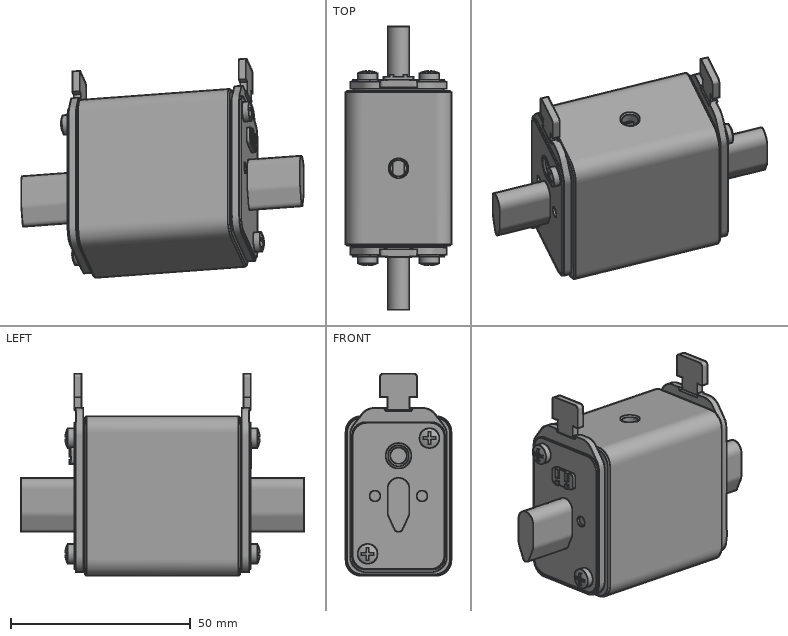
import cadquery as cq
import math

OVERALL_LENGTH = 78.8

HOUSING_WIDTH = 29.5
HOUSING_LENGTH = 43.1
HOUSING_HEIGHT = 44.45
HOUSING_CORNER_RADIUS = 4.5
HOUSING_EDGE_CHAMFER = 0.5
TOP_HOLE_RADIUS = 2.3
TOP_HOLE_RIM_RADIUS = 2.75
TOP_HOLE_DEPTH = 3.15
TOP_SLOT_WIDTH = 3.15
TOP_SLOT_DEPTH = 1.6

SPACER_INSET = 2.2
SPACER_THICKNESS = 0.5
SPACER_CORNER_RADIUS = 4.25
PLATE_THICKNESS = 2.05
PLATE_HALF_WIDTH = 13.5
PLATE_BOTTOM = -21.2
PLATE_SHOULDER = 18.4
PLATE_TOP = 24.5
PLATE_TOP_HALF_WIDTH = 8.8
PLATE_CORNER_RADIUS = 4.5
PANEL_WIDTH = 25.9
PANEL_HEIGHT = 41.05
PANEL_THICKNESS = 0.5
PANEL_CORNER_RADIUS = 3.95
PANEL_SIDE_TAPER = 27.0

LUG_OFFSET = 0.5
LUG_TOP = 34.05
LUG_HEAD_BOTTOM = 27.5
LUG_HEAD_WIDTH = 10.4
LUG_NECK_WIDTH = 6.15
LUG_CORNER_RADIUS = 1.0
LUG_FOOT_HEIGHT = 0.95
LUG_FOOT_TOP_WIDTH = 8.2
LUG_FOOT_BOTTOM_WIDTH = 7.1
LUG_FOOT_TAPER = 45.0

BLADE_WIDTH = 6.1
BLADE_TOP = 5.05
BLADE_CORNER_Z = -5.1
BLADE_FLANK_ANGLE = 24.7
BLADE_CORNER_RADIUS = 2.8
BLADE_TIP_RADIUS = 1.3

SCREW_RADIUS = 2.75
SCREW_RIM_HEIGHT = 1.8
SCREW_DOME_HEIGHT = 0.7
SCREW_X = 8.6
SCREW_Z = 16.1
CROSS_LENGTH = 3.5
CROSS_WIDTH = 0.7
CROSS_CENTRE_SIZE = 1.3
CROSS_DEPTH = 0.8

BLIND_HOLE_RADIUS = 1.5
BLIND_HOLE_X = 6.55
BLIND_HOLE_DEPTH = 0.8

INDICATOR_Z = 11.2
RING_RADIUS = 3.55
RING_HEIGHT = 0.15
OPENING_RIM_RADIUS = 2.9
OPENING_RADIUS = 2.3

BLOCK_WIDTH = 8.4
BLOCK_HEIGHT = 4.7
BLOCK_THICKNESS = 0.95
BLOCK_CORNER_RADIUS = 1.1
PRONG_OUTER_X = 2.45
PRONG_INNER_X = 1.35
PRONG_HEIGHT = 0.5
PRONG_NOTCH_WIDTH = 0.95
PRONG_NOTCH_OFFSET = 0.7

HOUSING_FACE = HOUSING_LENGTH / 2
PLATE_BACK = HOUSING_FACE + SPACER_THICKNESS
PLATE_FACE = PLATE_BACK + PLATE_THICKNESS
PANEL_FACE = PLATE_FACE + PANEL_THICKNESS
BLADE_END = OVERALL_LENGTH / 2


def facing_front(distance):
    """Sketch plane looking toward -Y, the given distance in front of the middle."""
    return cq.Workplane("XZ", origin=(0, -distance, 0))


def rounded_block(start, width, height, thickness, radius):
    """Upright rectangular slab with rounded corners, growing outward from start."""
    return facing_front(start).rect(width, height).extrude(thickness).edges("|Y").fillet(radius)


def countersunk_cutter(plane, rim_radius, bore_radius, depth):
    """Bore with a 45 degree countersink, sunk into the given plane."""
    sink_depth = rim_radius - bore_radius
    profile = [
        (0, 0),
        (rim_radius, 0),
        (bore_radius, -sink_depth),
        (bore_radius, -depth),
        (0, -depth),
    ]
    upright_cutter = cq.Workplane("XZ").polyline(profile).close().revolve(360, (0, 0), (0, 1))
    return cq.Workplane(upright_cutter.val().located(plane.plane.location))


def make_housing():
    housing = (
        rounded_block(-HOUSING_FACE, HOUSING_WIDTH, HOUSING_HEIGHT, HOUSING_LENGTH, HOUSING_CORNER_RADIUS)
        .faces("<Y or >Y")
        .chamfer(HOUSING_EDGE_CHAMFER)
    )
    top_plane = cq.Workplane("XY", origin=(0, 0, HOUSING_HEIGHT / 2))
    hole = countersunk_cutter(top_plane, TOP_HOLE_RIM_RADIUS, TOP_HOLE_RADIUS, TOP_HOLE_DEPTH)
    slot = (
        top_plane.workplane(offset=-TOP_HOLE_DEPTH)
        .circle(TOP_HOLE_RADIUS)
        .extrude(-TOP_SLOT_DEPTH)
        .intersect(cq.Workplane("XY").box(TOP_SLOT_WIDTH, HOUSING_LENGTH, HOUSING_HEIGHT))
    )
    return housing.cut(hole).cut(slot)


def make_plate():
    outline = [
        (-PLATE_HALF_WIDTH, PLATE_BOTTOM),
        (PLATE_HALF_WIDTH, PLATE_BOTTOM),
        (PLATE_HALF_WIDTH, PLATE_SHOULDER),
        (PLATE_TOP_HALF_WIDTH, PLATE_TOP),
        (-PLATE_TOP_HALF_WIDTH, PLATE_TOP),
        (-PLATE_HALF_WIDTH, PLATE_SHOULDER),
    ]
    plate = facing_front(PLATE_BACK).polyline(outline).close().extrude(PLATE_THICKNESS)
    return plate.edges("|Y").fillet(PLATE_CORNER_RADIUS)


def make_panel():
    outline = cq.Sketch().rect(PANEL_WIDTH, PANEL_HEIGHT).vertices().fillet(PANEL_CORNER_RADIUS)
    return facing_front(PLATE_FACE).placeSketch(outline).extrude(PANEL_THICKNESS, taper=PANEL_SIDE_TAPER)


def make_lug_foot(start):
    """Sloping-sided step where the lug is pressed out of the plate, ending at the plate's top edge."""
    side_slope = (LUG_FOOT_TOP_WIDTH - LUG_FOOT_BOTTOM_WIDTH) / 2 / LUG_FOOT_HEIGHT
    bottom = PLATE_TOP - LUG_FOOT_HEIGHT
    half_bottom = LUG_FOOT_BOTTOM_WIDTH / 2
    drawn_height = 2 * LUG_FOOT_HEIGHT
    half_top = half_bottom + side_slope * drawn_height
    outline = [
        (-half_bottom, bottom),
        (half_bottom, bottom),
        (half_top, bottom + drawn_height),
        (-half_top, bottom + drawn_height),
    ]
    step = facing_front(start).polyline(outline).close().extrude(LUG_OFFSET, taper=LUG_FOOT_TAPER)
    below_plate_top = (
        facing_front(start)
        .center(0, PLATE_TOP - drawn_height / 2)
        .rect(2 * LUG_FOOT_TOP_WIDTH, drawn_height)
        .extrude(LUG_OFFSET)
    )
    return step.intersect(below_plate_top)


def make_lug():
    lug_back = PLATE_BACK + LUG_OFFSET
    head_height = LUG_TOP - LUG_HEAD_BOTTOM
    head = (
        facing_front(lug_back)
        .center(0, LUG_HEAD_BOTTOM + head_height / 2)
        .rect(LUG_HEAD_WIDTH, head_height)
        .extrude(PLATE_THICKNESS)
        .edges("|Y and >Z")
        .fillet(LUG_CORNER_RADIUS)
    )
    neck_bottom = PLATE_TOP - LUG_FOOT_HEIGHT + LUG_OFFSET
    neck_height = LUG_HEAD_BOTTOM - neck_bottom
    neck = (
        facing_front(lug_back)
        .center(0, neck_bottom + neck_height / 2)
        .rect(LUG_NECK_WIDTH, neck_height)
        .extrude(PLATE_THICKNESS)
    )
    return head.union(neck)


def make_blade():
    half = BLADE_WIDTH / 2
    shoulder = BLADE_TOP - half
    point_z = BLADE_CORNER_Z - half / math.tan(math.radians(BLADE_FLANK_ANGLE))
    blade = (
        facing_front(PLATE_FACE)
        .moveTo(-half, shoulder)
        .threePointArc((0, BLADE_TOP), (half, shoulder))
        .lineTo(half, BLADE_CORNER_Z)
        .lineTo(0, point_z)
        .lineTo(-half, BLADE_CORNER_Z)
        .close()
        .extrude(BLADE_END - PLATE_FACE)
    )
    blade = blade.edges("|Y and <Z").fillet(BLADE_TIP_RADIUS)
    middle_y = -(PLATE_FACE + BLADE_END) / 2
    for x in (-half, half):
        corner = cq.selectors.NearestToPointSelector((x, middle_y, BLADE_CORNER_Z))
        blade = blade.edges(corner).fillet(BLADE_CORNER_RADIUS)
    return blade


def make_screw_head(x, z):
    crown = SCREW_RIM_HEIGHT + SCREW_DOME_HEIGHT
    dome_radius = (SCREW_RADIUS**2 + SCREW_DOME_HEIGHT**2) / (2 * SCREW_DOME_HEIGHT)
    base = facing_front(PANEL_FACE).center(x, z)
    dome = cq.Workplane("XY").sphere(dome_radius).translate((x, dome_radius - PANEL_FACE - crown, z))
    head = base.circle(SCREW_RADIUS).extrude(crown).intersect(dome)
    recess_floor = facing_front(PANEL_FACE + crown - CROSS_DEPTH).center(x, z)
    upright = recess_floor.rect(CROSS_WIDTH, CROSS_LENGTH).extrude(CROSS_DEPTH)
    level = recess_floor.rect(CROSS_LENGTH, CROSS_WIDTH).extrude(CROSS_DEPTH)
    centre = (
        recess_floor.rect(CROSS_CENTRE_SIZE, CROSS_CENTRE_SIZE)
        .extrude(CROSS_DEPTH)
        .rotate((x, 0, z), (x, 1, z), 45)
    )
    return head.cut(upright).cut(level).cut(centre)


def make_end_cap():
    """Features shared by both end caps, built on the front (-Y) side."""
    cap = rounded_block(
        HOUSING_FACE,
        HOUSING_WIDTH - 2 * SPACER_INSET,
        HOUSING_HEIGHT - 2 * SPACER_INSET,
        SPACER_THICKNESS,
        SPACER_CORNER_RADIUS,
    )
    cap = cap.union(make_plate()).union(make_panel())
    cap = cap.union(make_lug_foot(PLATE_FACE)).cut(make_lug_foot(PLATE_BACK))
    cap = cap.union(make_lug()).union(make_blade())
    for side in (-1, 1):
        cap = cap.union(make_screw_head(side * SCREW_X, side * SCREW_Z))
    blind_holes = (
        facing_front(PANEL_FACE)
        .pushPoints([(-BLIND_HOLE_X, 0), (BLIND_HOLE_X, 0)])
        .circle(BLIND_HOLE_RADIUS)
        .extrude(-BLIND_HOLE_DEPTH)
    )
    return cap.cut(blind_holes)


def make_front_cap():
    ring = facing_front(PANEL_FACE).center(0, INDICATOR_Z).circle(RING_RADIUS).extrude(RING_HEIGHT)
    ring_face = PANEL_FACE + RING_HEIGHT
    opening = countersunk_cutter(
        facing_front(ring_face).center(0, INDICATOR_Z),
        OPENING_RIM_RADIUS,
        OPENING_RADIUS,
        ring_face - HOUSING_FACE,
    )
    return make_end_cap().union(ring).cut(opening)


def make_rear_cap():
    block = rounded_block(
        PANEL_FACE, BLOCK_WIDTH, BLOCK_HEIGHT, BLOCK_THICKNESS, BLOCK_CORNER_RADIUS
    ).translate((0, 0, INDICATOR_Z))
    block_face = PANEL_FACE + BLOCK_THICKNESS
    prong_centre = (PRONG_OUTER_X + PRONG_INNER_X) / 2
    prongs = (
        facing_front(block_face)
        .center(0, INDICATOR_Z)
        .pushPoints([(-prong_centre, 0), (prong_centre, 0)])
        .rect(PRONG_OUTER_X - PRONG_INNER_X, BLOCK_HEIGHT)
        .extrude(PRONG_HEIGHT)
    )
    notch = (
        facing_front(block_face)
        .center(0, INDICATOR_Z - PRONG_NOTCH_OFFSET)
        .rect(BLOCK_WIDTH, PRONG_NOTCH_WIDTH)
        .extrude(PRONG_HEIGHT)
    )
    front_facing_cap = make_end_cap().union(block).union(prongs.cut(notch))
    return front_facing_cap.mirror("XZ")


housing = make_housing()
front_cap = make_front_cap()
rear_cap = make_rear_cap()

result = cq.Compound.makeCompound([housing.val(), front_cap.val(), rear_cap.val()])